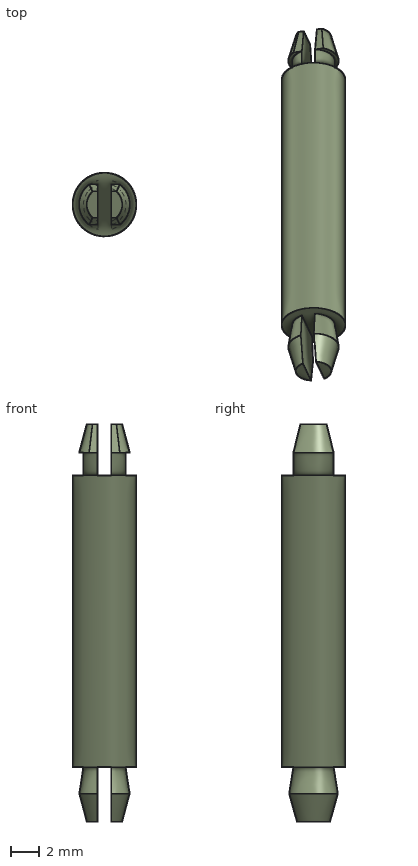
import cadquery as cq
import math

total_height = 28.0
body_diameter = 4.5
slot_width = 0.95

barb_diameter = 3.57
tip_diameter = 2.5

post_diameter = 3.0
post_height = 1.6
upper_barb_height = 2.0
flats_width_at_base = math.sqrt(post_diameter**2 - slot_width**2)
flats_width_at_tip = 1.85

neck_diameter = 3.0
neck_height = 1.85
lower_barb_height = 2.0

upper_end_height = post_height + upper_barb_height
lower_end_height = neck_height + lower_barb_height
body_height = total_height - upper_end_height - lower_end_height
barb_base_z = body_height + post_height


def frustum(base_z, height, base_diameter, top_diameter):
    """Solid cone frustum on the Z axis."""
    return cq.Workplane(
        cq.Solid.makeCone(base_diameter / 2, top_diameter / 2, height, cq.Vector(0, 0, base_z))
    )


def cylinder(base_z, height, diameter):
    """Solid cylinder on the Z axis."""
    return cq.Workplane("XY").workplane(offset=base_z).circle(diameter / 2).extrude(height)


def slotted(snap_end, base_z, height):
    """Split a snap end into two prongs with a slot running along Y."""
    slot = (
        cq.Workplane("XY")
        .workplane(offset=base_z)
        .rect(slot_width, body_diameter)
        .extrude(height)
    )
    return snap_end.cut(slot)


def flatted_barb():
    """Upper barb: a cone trimmed on its two Y sides by sloping flats."""
    flats = (
        cq.Workplane("YZ")
        .moveTo(-flats_width_at_base / 2, barb_base_z)
        .lineTo(flats_width_at_base / 2, barb_base_z)
        .lineTo(flats_width_at_tip / 2, barb_base_z + upper_barb_height)
        .lineTo(-flats_width_at_tip / 2, barb_base_z + upper_barb_height)
        .close()
        .extrude(barb_diameter / 2, both=True)
    )
    cone = frustum(barb_base_z, upper_barb_height, barb_diameter, tip_diameter)
    return cone.intersect(flats)


def upper_end():
    """Post and flatted barb above the body."""
    post = cylinder(body_height, post_height, post_diameter)
    return slotted(post.union(flatted_barb()), body_height, upper_end_height)


def lower_end():
    """Double-cone barb below the body."""
    neck = frustum(-neck_height, neck_height, barb_diameter, neck_diameter)
    barb = frustum(-lower_end_height, lower_barb_height, tip_diameter, barb_diameter)
    return slotted(neck.union(barb), -lower_end_height, lower_end_height)


body = cylinder(0, body_height, body_diameter)
result = body.union(upper_end()).union(lower_end())